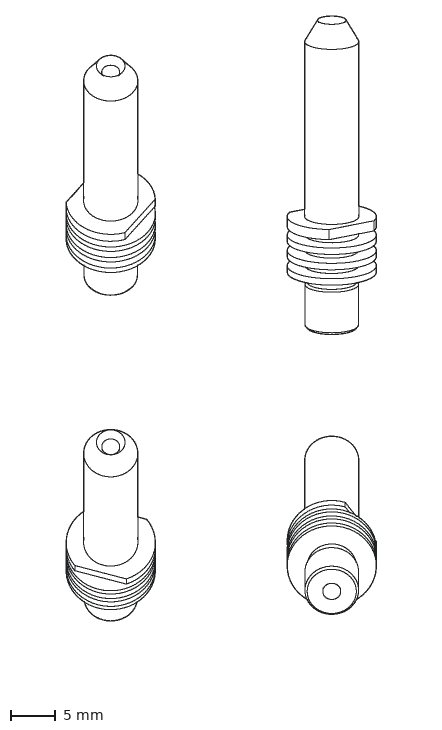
import cadquery as cq
import math

length = 36.0
bore_diameter = 2.0

plug_diameter = 6.0
neck_diameter = 5.5
plug_chamfer = (plug_diameter - neck_diameter) / 2
bottom_chamfer_height = 0.3
neck_bottom = 5.3

fin_diameter = 10.0
fin_thickness = 0.75
fin_pitch = 1.8
fin_count = 3
first_fin_bottom = 6.48

collar_bottom = 11.8
collar_top = 13.0
collar_flat_width = 8.0

shaft_diameter = 6.1
tip_diameter = 3.2
cone_half_angle = math.radians(30)
tip_height = (shaft_diameter - tip_diameter) / 2 / math.tan(cone_half_angle)
countersink_depth = (tip_diameter - bore_diameter) / 2 / math.tan(cone_half_angle)


def disc(diameter, bottom, height):
    """Solid cylinder on the Z axis."""
    return cq.Workplane("XY").workplane(offset=bottom).circle(diameter / 2).extrude(height)


def make_core():
    """Revolved plug, neck, fin core, shaft and tapered tip."""
    profile = [
        (0, 0),
        (neck_diameter / 2, 0),
        (plug_diameter / 2, bottom_chamfer_height),
        (plug_diameter / 2, neck_bottom - plug_chamfer),
        (neck_diameter / 2, neck_bottom),
        (neck_diameter / 2, first_fin_bottom),
        (plug_diameter / 2, first_fin_bottom),
        (plug_diameter / 2, collar_bottom),
        (shaft_diameter / 2, collar_bottom),
        (shaft_diameter / 2, length - tip_height),
        (tip_diameter / 2, length),
        (0, length),
    ]
    return cq.Workplane("XZ").polyline(profile).close().revolve(360, (0, 0), (0, 1))


def make_collar():
    """Round collar trimmed to two parallel flats."""
    height = collar_top - collar_bottom
    flats = (
        cq.Workplane("XY")
        .workplane(offset=collar_bottom)
        .rect(collar_flat_width, fin_diameter)
        .extrude(height)
    )
    return disc(fin_diameter, collar_bottom, height).intersect(flats)


def make_bore():
    """Through bore with a countersunk mouth at the tip."""
    profile = [
        (0, 0),
        (bore_diameter / 2, 0),
        (bore_diameter / 2, length - countersink_depth),
        (tip_diameter / 2, length),
        (0, length),
    ]
    return cq.Workplane("XZ").polyline(profile).close().revolve(360, (0, 0), (0, 1))


result = make_core().union(make_collar())
for index in range(fin_count):
    result = result.union(disc(fin_diameter, first_fin_bottom + index * fin_pitch, fin_thickness))
result = result.cut(make_bore())